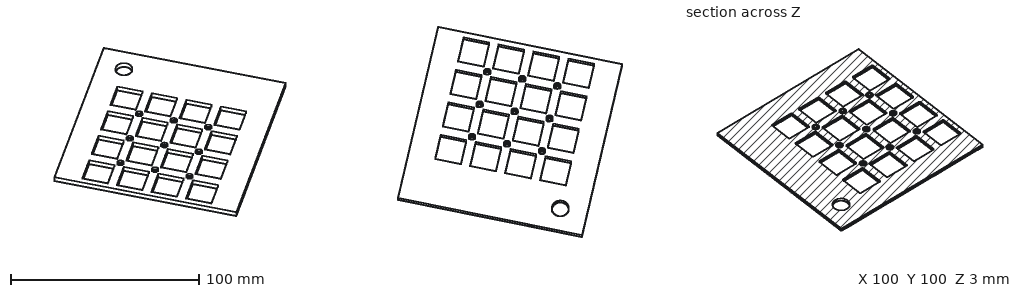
import cadquery as cq

plate_side = 100.0
plate_thickness = 3.0

window_count = 4
window_side = 14.0
window_pitch = 19.0
bottom_margin = 3.0
grid_span = (window_count - 1) * window_pitch + window_side
grid_center_y = -plate_side / 2 + bottom_margin + grid_span / 2

screw_diameter = 2.0
head_diameter = 3.6
head_depth = 1.5

opening_diameter = 9.0
opening_x = -35.5
opening_y = 37.5


def on_top(part, y_offset=0.0):
    """Top-face workplane, shifted along Y from the plate centre."""
    return part.faces(">Z").workplane(origin=(0, y_offset, plate_thickness))


def cut_windows(part):
    grid = on_top(part, grid_center_y).rarray(window_pitch, window_pitch, window_count, window_count)
    return grid.rect(window_side, window_side).cutThruAll()


def cut_screw_holes(part):
    crossings = window_count - 1
    grid = on_top(part, grid_center_y).rarray(window_pitch, window_pitch, crossings, crossings)
    return grid.cboreHole(screw_diameter, head_diameter, head_depth)


def cut_opening(part):
    return on_top(part).center(opening_x, opening_y).hole(opening_diameter)


plate = cq.Workplane("XY").box(plate_side, plate_side, plate_thickness, centered=(True, True, False))
result = cut_opening(cut_screw_holes(cut_windows(plate)))